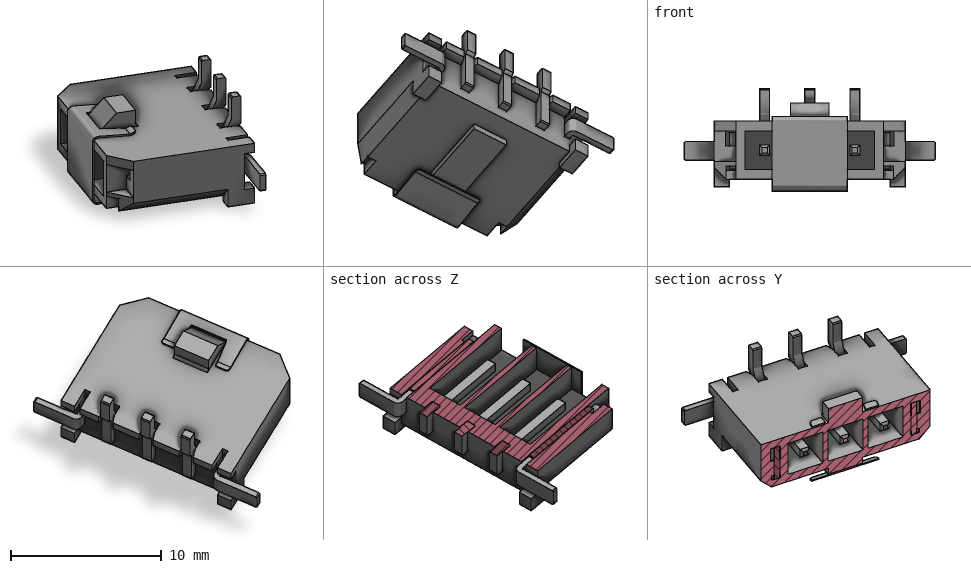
import cadquery as cq


HOUSING_WIDTH = 12.69
HALF_WIDTH = HOUSING_WIDTH / 2
HOUSING_DEPTH = 9.9
HOUSING_HEIGHT = 3.88
CORNER_WIDTH = 1.45
CORNER_DEPTH = 1.4
CORNER_INNER_X = HALF_WIDTH - CORNER_WIDTH
BEVEL = 0.8
FOOT_WIDTH = 1.02
FOOT_DEPTH = 1.88
FOOT_HEIGHT = 0.5

CAVITY_WIDTH = 2.58
CAVITY_FLOOR = 0.65
CAVITY_CEILING = 3.21
CAVITY_DEPTH = 7.5

CHANNEL_FRONT_Y = 9.2
CHANNEL_FLOOR = 0.6
CHANNEL_CEILING = CAVITY_CEILING

POCKET_FLOOR = 1.2
NOTCH_CEILING = 0.9
NOTCH_OUTER_X = HALF_WIDTH - BEVEL
RECESS_FLOOR = 2.2
RECESS_OUTER_X = 5.6
RECESS_DEPTH = 1.17

LATCH_WIDTH = 2.56
LATCH_HEIGHT = 1.2
LATCH_FRONT_Y = 0.78
LATCH_BACK_Y = 3.31
LATCH_BASE_FLARE = 0.2
RAIL_FRONT_Y = 1.7
RAIL_BACK_Y = 7.73

CONTACT_COUNT = 3
CONTACT_PITCH = 3.0
CONTACT_SIZE = 0.67
CONTACT_CENTERS = [(i - (CONTACT_COUNT - 1) / 2) * CONTACT_PITCH for i in range(CONTACT_COUNT)]
CONTACT_TIP_Y = 2.5
CONTACT_TIP_TAPER = 0.15
CONTACT_AXIS_Z = (CAVITY_FLOOR + CAVITY_CEILING) / 2
CONTACT_BACK_Y = 10.0
BLADE_BACK_Y = 9.79
BLADE_BOTTOM_Z = 0.87
CONTACT_TOP_Z = 6.01
FRONT_BEND_Z = 4.41
BACK_BEND_Z = 4.01
BEND_RADIUS = 0.17
CONTACT_SLOPE = 2.0
EDGE_CHAMFER = 0.08
CONTACT_SLOT_FRONT_Y = 8.54
FLARE_WIDTH = 1.07
FLARE_DEPTH = 0.58

LOCK_THICKNESS = 0.4
LOCK_INNER_X = 4.93
LOCK_OUTER_X = LOCK_INNER_X + LOCK_THICKNESS
LOCK_FRONT_Y = 2.16
LOCK_TIP_CHAMFER = 0.1
LOCK_SLOT_FRONT_Y = 8.4
LOCK_INNER_RADIUS = 0.05
LOCK_OUTER_RADIUS = LOCK_INNER_RADIUS + LOCK_THICKNESS
TAB_END_X = 8.32
TAB_BACK_Y = CONTACT_BACK_Y
TAB_BOTTOM_Z = 1.27
TAB_TOP_Z = 2.51

CLIP_WIDTH = 5.0
CLIP_THICKNESS = 0.125
CLIP_GAP = 0.025
CLIP_TOP_Z = 4.21
CLIP_MIDDLE_Z = (HOUSING_HEIGHT - FOOT_HEIGHT) / 2
CLIP_BEND_RADIUS = 0.4
CLIP_CONTACT_Y = 2.5
CLIP_END_Y = 2.91
CLIP_LIP_RISE = 0.13
CLIP_CORNER = 0.13
CLIP_SLOT_FRONT_Y = 0.77
CLIP_SLOT_FRONT_WIDTH = 2.63
CLIP_SLOT_BACK_WIDTH = 3.13

SIDES = (-1, 1)


def block(x_range, y_range, z_range):
    """Box between the given limits, each pair in either order."""
    spans = [sorted(limits) for limits in (x_range, y_range, z_range)]
    sizes = [high - low for low, high in spans]
    corner = tuple(low for low, high in spans)
    return cq.Workplane("XY").box(*sizes, centered=False).translate(corner)


def side_prism(points, width, x_center=0):
    """Closed (Y, Z) outline extruded along X, centred on x_center."""
    outline = cq.Workplane("YZ").polyline(points).close()
    return outline.extrude(width / 2, both=True).translate((x_center, 0, 0))


def plan_prism(points, z_range):
    """Closed (X, Y) outline extruded between two heights."""
    bottom, top = z_range
    return cq.Workplane("XY").workplane(offset=bottom).polyline(points).close().extrude(top - bottom)


def edge_near(x, y, z):
    """Selector for the edge closest to a point."""
    return cq.selectors.NearestToPointSelector((x, y, z))


def make_contact(x_center):
    """Flat contact: a square pin, an upright blade behind it and a solder leg on top."""
    pin_bottom = CONTACT_AXIS_Z - CONTACT_SIZE / 2
    pin_top = CONTACT_AXIS_Z + CONTACT_SIZE / 2
    leg_front_y = CONTACT_BACK_Y - CONTACT_SIZE
    contact = side_prism(
        [
            (CONTACT_TIP_Y, pin_bottom),
            (CONTACT_SLOT_FRONT_Y, pin_bottom),
            (CONTACT_SLOT_FRONT_Y, BLADE_BOTTOM_Z),
            (BLADE_BACK_Y - EDGE_CHAMFER, BLADE_BOTTOM_Z),
            (BLADE_BACK_Y, BLADE_BOTTOM_Z + EDGE_CHAMFER),
            (BLADE_BACK_Y, BACK_BEND_Z - (CONTACT_BACK_Y - BLADE_BACK_Y)),
            (CONTACT_BACK_Y, BACK_BEND_Z),
            (CONTACT_BACK_Y, CONTACT_TOP_Z),
            (leg_front_y, CONTACT_TOP_Z),
            (leg_front_y, FRONT_BEND_Z),
            (leg_front_y - (FRONT_BEND_Z - pin_top) / CONTACT_SLOPE, pin_top),
            (CONTACT_TIP_Y, pin_top),
        ],
        CONTACT_SIZE,
        x_center,
    )
    contact = contact.edges("|X").edges(edge_near(x_center, leg_front_y, FRONT_BEND_Z)).fillet(BEND_RADIUS)
    contact = contact.faces("<Y").chamfer(CONTACT_TIP_TAPER)
    return contact.faces(">Z").edges("|X").chamfer(EDGE_CHAMFER)


def make_board_lock(side):
    """Upright plate with a narrower solder tab that turns outward behind the housing."""
    inner_x = side * LOCK_INNER_X
    outer_x = side * LOCK_OUTER_X
    end_x = side * TAB_END_X
    plate_y = (LOCK_FRONT_Y, LOCK_SLOT_FRONT_Y)
    plate = block((inner_x, outer_x), plate_y, (CHANNEL_FLOOR, CHANNEL_CEILING))
    plate = plate.faces("<Y").edges("|X").chamfer(LOCK_TIP_CHAMFER)

    tab_front_y = TAB_BACK_Y - LOCK_THICKNESS
    tab_outline = [
        (inner_x, LOCK_SLOT_FRONT_Y),
        (outer_x, LOCK_SLOT_FRONT_Y),
        (outer_x, tab_front_y),
        (end_x, tab_front_y),
        (end_x, TAB_BACK_Y),
        (inner_x, TAB_BACK_Y),
    ]
    tab = plan_prism(tab_outline, (TAB_BOTTOM_Z, TAB_TOP_Z))
    tab_middle_z = (TAB_BOTTOM_Z + TAB_TOP_Z) / 2
    tab = tab.edges("|Z").edges(edge_near(inner_x, TAB_BACK_Y, tab_middle_z)).fillet(LOCK_OUTER_RADIUS)
    tab = tab.edges("|Z").edges(edge_near(outer_x, tab_front_y, tab_middle_z)).fillet(LOCK_INNER_RADIUS)
    end_face = ">X" if side > 0 else "<X"
    tab = tab.faces(end_face).edges("|Y").chamfer(EDGE_CHAMFER)
    return plate.union(tab)


def strap_solid(inset):
    """Solid bounded by the clip outline moved inward by the given amount."""
    upper = [
        (inset - CLIP_THICKNESS - CLIP_GAP, CLIP_TOP_Z - inset),
        (CLIP_CONTACT_Y, HOUSING_HEIGHT + CLIP_THICKNESS - inset),
        (CLIP_END_Y, HOUSING_HEIGHT + CLIP_THICKNESS - inset + CLIP_LIP_RISE),
    ]
    lower = [(y, 2 * CLIP_MIDDLE_Z - z) for y, z in reversed(upper)]
    solid = side_prism(upper + lower, CLIP_WIDTH)
    return solid.edges("|X and <Y").fillet(CLIP_BEND_RADIUS - inset)


def make_spring_clip():
    """Bent sheet strap over the mating face, with its upper arm slotted for the latch."""
    outer = strap_solid(0).edges("|Z and >Y").chamfer(CLIP_CORNER)
    clip = outer.cut(strap_solid(CLIP_THICKNESS))
    latch_slot = plan_prism(
        [
            (-CLIP_SLOT_FRONT_WIDTH / 2, CLIP_SLOT_FRONT_Y),
            (CLIP_SLOT_FRONT_WIDTH / 2, CLIP_SLOT_FRONT_Y),
            (CLIP_SLOT_BACK_WIDTH / 2, CLIP_END_Y),
            (-CLIP_SLOT_BACK_WIDTH / 2, CLIP_END_Y),
        ],
        (CLIP_MIDDLE_Z, CONTACT_TOP_Z),
    )
    return clip.cut(latch_slot)


def make_shell():
    """Plain housing body with cut front corners, bevelled sides, feet, latch and rail."""
    shell = plan_prism(
        [
            (-CORNER_INNER_X, 0),
            (CORNER_INNER_X, 0),
            (HALF_WIDTH, CORNER_DEPTH),
            (HALF_WIDTH, HOUSING_DEPTH),
            (-HALF_WIDTH, HOUSING_DEPTH),
            (-HALF_WIDTH, CORNER_DEPTH),
        ],
        (0, HOUSING_HEIGHT),
    )
    bevelled_outline = [
        (-HALF_WIDTH, HOUSING_HEIGHT),
        (-HALF_WIDTH, BEVEL),
        (-HALF_WIDTH + BEVEL, 0),
        (HALF_WIDTH - BEVEL, 0),
        (HALF_WIDTH, BEVEL),
        (HALF_WIDTH, HOUSING_HEIGHT),
    ]
    bevelled = cq.Workplane("XZ").polyline(bevelled_outline).close().extrude(-HOUSING_DEPTH)
    shell = shell.intersect(bevelled)

    foot_y = (HOUSING_DEPTH - FOOT_DEPTH, HOUSING_DEPTH)
    for side in SIDES:
        foot_x = (side * HALF_WIDTH, side * (HALF_WIDTH - FOOT_WIDTH))
        shell = shell.union(block(foot_x, foot_y, (-FOOT_HEIGHT, BEVEL)))

    latch_top = HOUSING_HEIGHT + LATCH_HEIGHT
    latch = side_prism(
        [
            (LATCH_FRONT_Y, HOUSING_HEIGHT),
            (LATCH_FRONT_Y + LATCH_HEIGHT, latch_top),
            (LATCH_BACK_Y, latch_top),
            (LATCH_BACK_Y, HOUSING_HEIGHT + LATCH_BASE_FLARE),
            (LATCH_BACK_Y + LATCH_BASE_FLARE, HOUSING_HEIGHT),
        ],
        LATCH_WIDTH,
    )
    half_latch = LATCH_WIDTH / 2
    rail = block((-half_latch, half_latch), (RAIL_FRONT_Y, RAIL_BACK_Y), (-FOOT_HEIGHT, 0))
    return shell.union(latch).union(rail)


def cut_front_openings(housing):
    """Mating cavities, corner pockets, notches and the recesses reaching the board locks."""
    half_cavity = CAVITY_WIDTH / 2
    cavity_z = (CAVITY_FLOOR, CAVITY_CEILING)
    cavity = block((-half_cavity, half_cavity), (0, CAVITY_DEPTH), cavity_z)
    for x_center in CONTACT_CENTERS:
        housing = housing.cut(cavity.translate((x_center, 0, 0)))

    recess_back_y = CORNER_DEPTH + RECESS_DEPTH
    for side in SIDES:
        inner_x = side * CORNER_INNER_X
        notch_x = (inner_x, side * NOTCH_OUTER_X)
        pocket_x = (inner_x, side * HALF_WIDTH)
        recess_x = (inner_x, side * RECESS_OUTER_X)
        pocket = block(pocket_x, (0, CORNER_DEPTH), (POCKET_FLOOR, CAVITY_CEILING))
        recess = block(recess_x, (CORNER_DEPTH, recess_back_y), (RECESS_FLOOR, CAVITY_CEILING))
        notch = block(notch_x, (0, CORNER_DEPTH), (0, NOTCH_CEILING))
        lower_recess = block(notch_x, (CORNER_DEPTH, recess_back_y), (CHANNEL_FLOOR, NOTCH_CEILING))
        housing = housing.cut(pocket).cut(recess).cut(notch).cut(lower_recess)
    return housing


def cut_back_openings(housing):
    """Back channel, flared slots for the contacts and roof slots for the board locks."""
    channel_y = (CHANNEL_FRONT_Y, HOUSING_DEPTH)
    channel = block((-HALF_WIDTH, HALF_WIDTH), channel_y, (CHANNEL_FLOOR, CHANNEL_CEILING))
    foot_inner_x = HALF_WIDTH - FOOT_WIDTH
    floor_gap = block((-foot_inner_x, foot_inner_x), channel_y, (0, CHANNEL_FLOOR))
    housing = housing.cut(channel).cut(floor_gap)

    half_slot = CONTACT_SIZE / 2
    flare_front_y = HOUSING_DEPTH - FLARE_DEPTH
    slot_outline = [
        (-half_slot, CONTACT_SLOT_FRONT_Y),
        (half_slot, CONTACT_SLOT_FRONT_Y),
        (half_slot, flare_front_y),
        (FLARE_WIDTH / 2, HOUSING_DEPTH),
        (-FLARE_WIDTH / 2, HOUSING_DEPTH),
        (-half_slot, flare_front_y),
    ]
    contact_slot = plan_prism(slot_outline, (CONTACT_AXIS_Z, HOUSING_HEIGHT))
    for x_center in CONTACT_CENTERS:
        housing = housing.cut(contact_slot.translate((x_center, 0, 0)))

    lock_slot_y = (LOCK_SLOT_FRONT_Y, HOUSING_DEPTH)
    for side in SIDES:
        lock_slot_x = (side * LOCK_INNER_X, side * LOCK_OUTER_X)
        housing = housing.cut(block(lock_slot_x, lock_slot_y, (TAB_TOP_Z, HOUSING_HEIGHT)))
    return housing


def make_housing(inserts):
    """Finished housing, with a matching seat cut for every insert."""
    housing = cut_back_openings(cut_front_openings(make_shell()))
    for insert in inserts:
        housing = housing.cut(insert)
    return housing


contacts = [make_contact(x_center) for x_center in CONTACT_CENTERS]
board_locks = [make_board_lock(side) for side in SIDES]
spring_clip = make_spring_clip()
housing = make_housing(contacts + board_locks)

result = cq.Compound.makeCompound(
    [
        housing.val(),
        spring_clip.val(),
        *[contact.val() for contact in contacts],
        *[board_lock.val() for board_lock in board_locks],
    ]
)